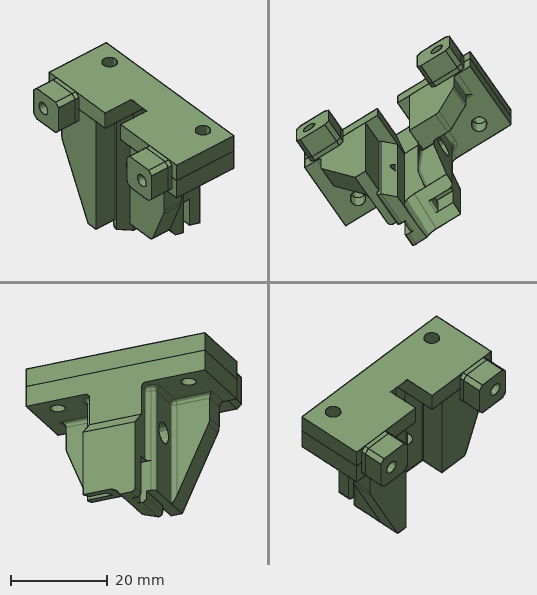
import cadquery as cq
import math


plate_width = 41.0
plate_depth = 15.5
seam_z = -4.0
flange_z = -8.55
bolt_diameter = 3.2
bolt_half_spacing = 15.0
bolt_y = 11.75

slot_half_width = 2.5
slot_depth = 7.0
arm_gap_half_width = 5.45
core_front = 5.2
vee_half_width = 5.0
channel_floor = 10.2

round_radius = 1.0
core_half_width = 7.95
core_back = 13.0
core_bottom = -32.35
arm_thickness = 4.65
arm_half_span = 16.5
arm_bend_z = -14.85
arm_bend_radius = 3.0
left_arm_tip = 8.0
right_arm_tip = 12.55
right_arm_bottom = -24.35
tongue_half_width = core_half_width - 2 * round_radius
tongue_back = 18.55
tongue_shoulder_z = -15.75
tongue_bottom = -34.73

cross_hole_diameter = 4.6
cross_hole_y = 8.9
cross_hole_z = -17.65
web_half_width = 2.9

underside_front_z = -30.9
underside_angle = 14.8
bevel_front_z = -24.05
bevel_edge_radius = 0.5

rear_slot_back = 15.75
rear_slot_top = -25.5
stop_left = -4.5
stop_right = 2.25
stop_top = -27.25
stop_chamfer = 1.0
stop_round = 0.5

foot_size = 8.0
foot_chamfer = 0.95
foot_x = 14.95
foot_front = -5.5
spacer_front = -1.02
foot_hole_diameter = 2.8
foot_hole_x = 15.83


def box(x_range, y_range, z_range):
    sizes = [end - start for start, end in (x_range, y_range, z_range)]
    return cq.Workplane("XY").box(*sizes, centered=False).translate((x_range[0], y_range[0], z_range[0]))


def extrude_along_y(outline, start, end):
    """Extrude an outline drawn in the XZ plane from y = start to y = end."""
    return outline.extrude(start - end).translate((0, start, 0))


def bolt_holes(bottom):
    places = [(-bolt_half_spacing, bolt_y), (bolt_half_spacing, bolt_y)]
    return cq.Workplane("XY").pushPoints(places).circle(bolt_diameter / 2).extrude(bottom)


def make_top_plate():
    half_width = plate_width / 2
    plate = box((-half_width, half_width), (0, plate_depth), (seam_z, 0))
    slot = (
        cq.Workplane("YZ")
        .polyline([(0, 0), (slot_depth, 0), (slot_depth - seam_z, seam_z), (0, seam_z)]).close()
        .extrude(slot_half_width, both=True)
    )
    return plate.cut(slot).cut(bolt_holes(seam_z))


def half_column(side):
    """Arm, core and tongue root on one side (-1 left, 1 right), full height, with rounded corners in plan."""
    r = round_radius
    return (
        cq.Workplane("XY", origin=(0, 0, seam_z))
        .lineTo(side * arm_half_span, 0)
        .lineTo(side * arm_half_span, arm_thickness)
        .lineTo(side * (core_half_width + r), arm_thickness)
        .radiusArc((side * core_half_width, arm_thickness + r), side * r)
        .lineTo(side * core_half_width, core_back - r)
        .radiusArc((side * (core_half_width - r), core_back), -side * r)
        .radiusArc((side * tongue_half_width, core_back + r), side * r)
        .lineTo(side * tongue_half_width, plate_depth)
        .lineTo(0, plate_depth)
        .close()
        .extrude(core_bottom - seam_z)
    )


def arm_envelope(side, tip, bottom):
    """Front outline of one arm: straight shoulder, rounded bend and taper to the tip."""
    outline = (
        cq.Workplane("XZ")
        .polyline([
            (0, seam_z), (side * arm_half_span, seam_z), (side * arm_half_span, arm_bend_z),
            (side * tip, bottom), (0, bottom),
        ]).close()
    )
    arm = extrude_along_y(outline, 0, core_front)
    bend = cq.selectors.NearestToPointSelector((side * arm_half_span, core_front / 2, arm_bend_z))
    return arm.edges(bend).fillet(arm_bend_radius)


def make_stem():
    """Both arms and the core, before the tongue and the cuts."""
    left_arm = arm_envelope(-1, left_arm_tip, core_bottom)
    right_arm = arm_envelope(1, right_arm_tip, right_arm_bottom)
    right_corner = cq.selectors.NearestToPointSelector((right_arm_tip, core_front / 2, right_arm_bottom))
    right_arm = right_arm.edges(right_corner).fillet(round_radius)
    behind_arms = box((-arm_half_span, arm_half_span), (core_front, plate_depth), (core_bottom, seam_z))
    column = half_column(-1).union(half_column(1))
    return column.intersect(left_arm.union(right_arm).union(behind_arms))


def make_tongue():
    """Rear tongue with a 45 degree shoulder; its foot reaches forward under the core."""
    step = tongue_back - plate_depth
    tongue = (
        cq.Workplane("YZ")
        .polyline([
            (core_front, core_bottom), (core_back + round_radius, core_bottom),
            (core_back + round_radius, seam_z), (plate_depth, seam_z), (plate_depth, tongue_shoulder_z),
            (tongue_back, tongue_shoulder_z - step), (tongue_back, tongue_bottom),
            (core_front, tongue_bottom),
        ]).close()
        .extrude(tongue_half_width, both=True)
    )
    return tongue.edges("|Y and <X and <Z").fillet(round_radius)


def channel():
    """Gap between the arms, V walls and straight slot, open from top to bottom."""
    vee_end = core_front + vee_half_width - slot_half_width
    right_side = [
        (arm_gap_half_width, 0), (arm_gap_half_width, core_front), (vee_half_width, core_front),
        (slot_half_width, vee_end), (slot_half_width, channel_floor),
    ]
    left_side = [(-x, y) for x, y in reversed(right_side)]
    return (
        cq.Workplane("XY", origin=(0, 0, seam_z))
        .polyline(right_side + left_side).close()
        .extrude(tongue_bottom - seam_z)
    )


def right_bevel():
    """Material below the right core, in front of the channel floor."""
    return (
        cq.Workplane("YZ")
        .polyline([
            (0, right_arm_bottom), (core_front, right_arm_bottom),
            (core_front, bevel_front_z), (channel_floor, underside_front_z),
            (channel_floor, tongue_bottom), (0, tongue_bottom),
        ]).close()
        .extrude(plate_width / 2)
    )


def round_bevel_edges(carrier):
    """Round the two edges where the bevel meets the right V wall and the right slot wall."""
    bevel_slope = (underside_front_z - bevel_front_z) / (channel_floor - core_front)

    def point_on_bevel(x, y):
        return (x, y, bevel_front_z + bevel_slope * (y - core_front))

    vee_depth = vee_half_width - slot_half_width
    vee_end = core_front + vee_depth
    vee_edge = point_on_bevel(slot_half_width + vee_depth / 2, core_front + vee_depth / 2)
    slot_edge = point_on_bevel(slot_half_width, (vee_end + channel_floor) / 2)
    edges = carrier.edges(cq.selectors.NearestToPointSelector(vee_edge))
    edges = edges.add(carrier.edges(cq.selectors.NearestToPointSelector(slot_edge)))
    return edges.fillet(bevel_edge_radius)


def underside_drop(y):
    """How far the underside has dropped at y, measured from the channel floor."""
    return (y - channel_floor) * math.tan(math.radians(underside_angle))


def underside_notch():
    """Cut below the right core and tongue, sloping down to the back, with a rounded left end."""
    run = tongue_back - channel_floor
    drop = underside_drop(tongue_back)
    radius = slot_half_width
    depth = underside_front_z - tongue_bottom
    section = (
        cq.Workplane("XZ", origin=(0, channel_floor, underside_front_z))
        .moveTo(plate_width / 2, 0).lineTo(0, 0)
        .radiusArc((-radius, -radius), -radius)
        .lineTo(-radius, -depth).lineTo(plate_width / 2, -depth)
        .close().val()
    )
    return cq.Workplane(cq.Solid.extrudeLinear(section, [], cq.Vector(0, run, -drop)))


def cross_hole(side):
    return (
        cq.Workplane("YZ", origin=(side * web_half_width, cross_hole_y, cross_hole_z))
        .circle(cross_hole_diameter / 2)
        .extrude(side * arm_half_span)
    )


def rear_slot():
    """Slot across the full width behind the core, leaving a chamfered stop block inside."""
    y_range = (core_back, rear_slot_back)
    slot = box((-arm_half_span, arm_half_span), y_range, (tongue_bottom, rear_slot_top))
    stop = box((stop_left, stop_right), y_range, (tongue_bottom, stop_top))
    stop = stop.edges("|Y and <X and >Z").chamfer(stop_chamfer)
    stop = stop.edges("|Y and <X and <Z").fillet(stop_round)
    return slot.cut(stop)


def round_stop_edge(carrier):
    """Round the lower right edge of the stop block, along the underside."""
    middle_y = (core_back + rear_slot_back) / 2
    middle_z = underside_front_z - underside_drop(middle_y)
    edge = cq.selectors.NearestToPointSelector((stop_right, middle_y, middle_z))
    return carrier.edges(edge).fillet(stop_round)


def make_carrier():
    half_width = plate_width / 2
    flange = box((-half_width, half_width), (0, plate_depth), (flange_z, seam_z))
    carrier = flange.union(make_stem()).clean()
    margin = round_radius / 2
    junction = cq.selectors.BoxSelector(
        (-half_width + margin, margin, flange_z - margin),
        (half_width - margin, plate_depth - margin, flange_z + margin),
    )
    carrier = carrier.edges(junction).fillet(round_radius)
    carrier = carrier.union(make_tongue())
    carrier = carrier.cut(channel()).cut(right_bevel())
    carrier = round_bevel_edges(carrier)
    carrier = carrier.cut(rear_slot()).cut(underside_notch())
    carrier = round_stop_edge(carrier)
    carrier = carrier.cut(cross_hole(-1)).cut(cross_hole(1))
    return carrier.cut(bolt_holes(flange_z))


def octagon_block(side, front, back):
    """Square block with four chamfered corners and a hole, flush with the top of the plates."""
    block = (
        cq.Workplane("XZ", origin=(side * foot_x, back, -foot_size / 2))
        .rect(foot_size, foot_size).extrude(back - front)
        .edges("|Y").chamfer(foot_chamfer)
    )
    hole = cq.Workplane("XZ", origin=(side * foot_hole_x, back, seam_z))
    return block.cut(hole.circle(foot_hole_diameter / 2).extrude(back - front))


top_plate = make_top_plate()
carrier = make_carrier()
spacers = [octagon_block(side, spacer_front, 0) for side in (-1, 1)]
feet = [octagon_block(side, foot_front, spacer_front) for side in (-1, 1)]

result = cq.Compound.makeCompound([
    top_plate.val(),
    carrier.val(),
    *[spacer.val() for spacer in spacers],
    *[foot.val() for foot in feet],
])